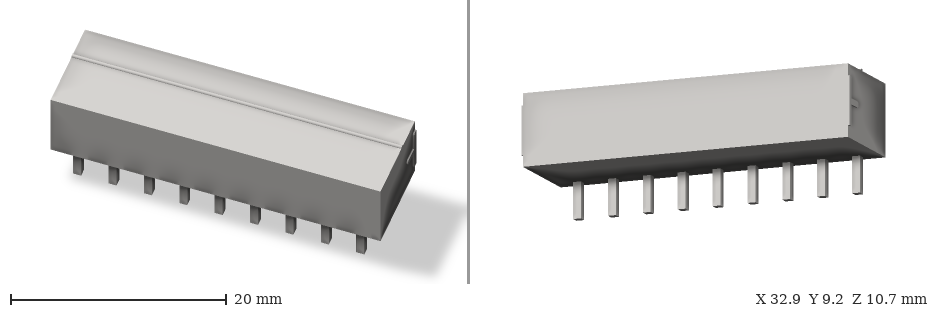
import cadquery as cq

overall_length = 32.9
overall_height = 10.73
depth = 9.2

module_count = 9
key_projection = 0.148
end_wall = 0.55
row_length = overall_length - 2 * key_projection
pitch = (row_length - 2 * end_wall) / module_count
row_left = -row_length / 2
row_right = row_left + row_length
first_module_left = row_left + end_wall

ridge_radius = 0.2
ridge_y = 5.8

pin_length = 3.52
pin_width = 0.8
pin_y = 1.22
housing_height = overall_height - pin_length - ridge_radius

key_thickness = 0.6
key_reach = 2.27
key_height = 4.75
key_bottom = 1.12
key_corner_radius = 0.2


def housing_slice(left, width):
    """A slice of the ridged housing, starting at X = left."""
    block = cq.Workplane("XY", origin=(left, 0, 0)).box(width, depth, housing_height, centered=False)
    ridge = (
        cq.Workplane("YZ", origin=(left, ridge_y, housing_height))
        .circle(ridge_radius)
        .extrude(width)
    )
    return block.union(ridge)


def end_key(left):
    """A T-shaped key with a round-ended stem, starting at X = left."""
    middle_z = key_bottom + key_height / 2
    tip_radius = key_thickness / 2
    tip_center_y = depth - key_reach + tip_radius
    bar = (
        cq.Workplane("XY", origin=(left, depth - key_thickness, key_bottom))
        .box(key_projection, key_thickness, key_height, centered=False)
        .edges("|X and <Y")
        .fillet(key_corner_radius)
    )
    stem = cq.Workplane("XY", origin=(left, tip_center_y, middle_z - tip_radius)).box(
        key_projection, depth - tip_center_y, key_thickness, centered=False
    )
    tip = (
        cq.Workplane("YZ", origin=(left, tip_center_y, middle_z))
        .circle(tip_radius)
        .extrude(key_projection)
    )
    return bar.union(stem).union(tip)


def pin(center_x):
    """A square contact pin hanging from the underside of the housing."""
    return (
        cq.Workplane("XY", origin=(center_x, pin_y, 0))
        .rect(pin_width, pin_width)
        .extrude(-pin_length)
    )


def end_plate():
    """The thin plate that closes the left end, with its key."""
    return housing_slice(row_left, end_wall).union(end_key(row_left - key_projection))


def terminal_module(index):
    """A module with its pin; the last one includes the right end wall and key."""
    left = first_module_left + index * pitch
    is_last = index == module_count - 1
    width = pitch + end_wall if is_last else pitch
    module = housing_slice(left, width).union(pin(left + pitch / 2))
    if is_last:
        module = module.union(end_key(row_right))
    return module


plate = end_plate()
modules = [terminal_module(index) for index in range(module_count)]

result = cq.Compound.makeCompound([plate.val(), *[module.val() for module in modules]])